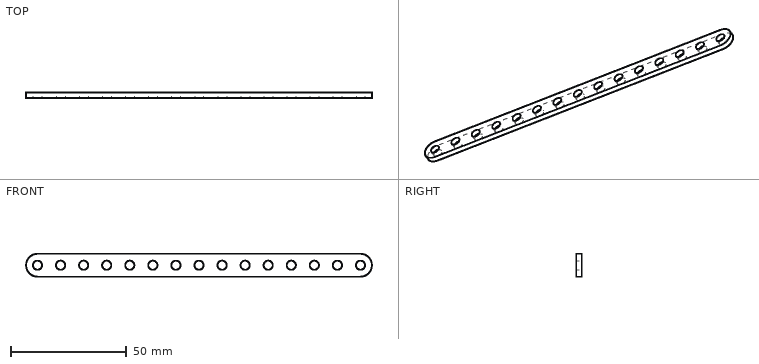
import cadquery as cq

hole_count = 15
hole_pitch = 10.0
hole_diameter = 3.9
bar_width = 10.0
bar_thickness = 2.5

hole_span = (hole_count - 1) * hole_pitch
bar_length = hole_span + bar_width


def make_bar():
    """Flat bar with full-round ends, lengthwise along X and centred on the origin."""
    return (
        cq.Workplane("XZ")
        .slot2D(bar_length, bar_width)
        .extrude(bar_thickness / 2, both=True)
    )


def drill_holes(bar):
    """Cut the row of evenly spaced through holes along the bar's centreline."""
    return (
        bar.faces("<Y")
        .workplane(centerOption="CenterOfBoundBox")
        .rarray(hole_pitch, hole_pitch, hole_count, 1)
        .hole(hole_diameter)
    )


result = drill_holes(make_bar())